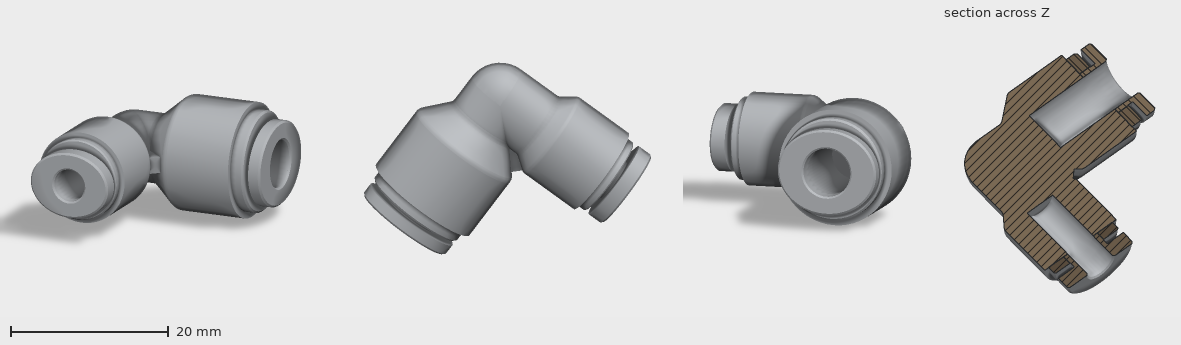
import cadquery as cq
import math


overall_x = 26.4
overall_y = 27.45
large_barrel_dia = 14.9
small_barrel_dia = 11.9

tube_dia = 9.0
shoulder_fillet = 1.0
rib_thickness = 2.09
rib_reach = 13.42

collar_gap = 0.75
flange_chamfer = 0.25
bore_chamfer = 0.22
bore_taper = 0.03
taper_depth = 2.75
neck_fillet = 0.08

large_arm = dict(
    cone_start=4.0,
    cone_end=7.5,
    barrel_dia=large_barrel_dia,
    barrel_end=16.47,
    ring_dia=13.15,
    ring_length=1.65,
    ring_chamfer=0.25,
    neck_dia=7.5,
    flange_width=13.0,
    flange_height=11.0,
    collar_end=overall_x - small_barrel_dia / 2,
    bore_dia=6.2,
)
small_arm = dict(
    cone_start=5.95,
    cone_end=7.95,
    barrel_dia=small_barrel_dia,
    barrel_end=15.98,
    ring_dia=10.6,
    ring_length=1.24,
    ring_chamfer=0.16,
    neck_dia=5.5,
    flange_width=10.8,
    flange_height=8.56,
    collar_end=overall_y - large_barrel_dia / 2,
    bore_dia=4.2,
)


def along_arm(arm):
    """Frame at the origin: local z runs out along the arm, local y is global Z."""
    if arm is large_arm:
        return cq.Plane(origin=(0, 0, 0), xDir=(0, 1, 0), normal=(1, 0, 0))
    return cq.Plane(origin=(0, 0, 0), xDir=(1, 0, 0), normal=(0, -1, 0))


def at_station(arm, station):
    """Workplane across the arm axis at a distance from the origin."""
    return cq.Workplane(along_arm(arm)).workplane(offset=station)


def outermost(arm):
    """Selector for whatever lies farthest out along the arm."""
    return cq.selectors.DirectionMinMaxSelector(along_arm(arm).zDir)


def make_arm_shell(arm):
    """Solid tube, cone and barrel of one arm, with both cone corners blended."""
    tube_radius = tube_dia / 2
    barrel_radius = arm["barrel_dia"] / 2
    cone_length = arm["cone_end"] - arm["cone_start"]
    cone_angle = math.atan2(barrel_radius - tube_radius, cone_length)
    tangent = shoulder_fillet * math.tan(cone_angle / 2)
    bulge = shoulder_fillet * (1 - math.cos(cone_angle / 2))
    run = tangent * math.cos(cone_angle)
    rise = tangent * math.sin(cone_angle)
    half_run = shoulder_fillet * math.sin(cone_angle / 2)
    inner_start = arm["cone_start"] - tangent
    outer_end = arm["cone_end"] + tangent

    profile_plane = along_arm(arm).rotated((90, 0, 0))
    return (
        cq.Workplane(profile_plane)
        .moveTo(0, 0)
        .lineTo(tube_radius, 0)
        .lineTo(tube_radius, inner_start)
        .threePointArc(
            (tube_radius + bulge, inner_start + half_run),
            (tube_radius + rise, arm["cone_start"] + run),
        )
        .lineTo(barrel_radius - rise, arm["cone_end"] - run)
        .threePointArc(
            (barrel_radius - bulge, outer_end - half_run),
            (barrel_radius, outer_end),
        )
        .lineTo(barrel_radius, arm["barrel_end"])
        .lineTo(0, arm["barrel_end"])
        .close()
        .revolve(360, (0, 0), (0, 1))
    )


def make_rib():
    """Triangular web bridging the two cones in the inner corner."""
    return (
        cq.Workplane("XY")
        .polyline([(0, 0), (rib_reach, 0), (0, -rib_reach)])
        .close()
        .extrude(rib_thickness / 2, both=True)
    )


def make_tube_pocket(arm):
    """Blind hole for the tube, from the barrel face down to the end of the cone."""
    depth = arm["barrel_end"] - arm["cone_end"]
    pocket_radius = (arm["bore_dia"] - bore_taper) / 2
    return at_station(arm, arm["cone_end"]).circle(pocket_radius).extrude(depth)


def make_elbow():
    """Both arms, the domed corner and the web as one solid with two tube pockets."""
    elbow = cq.Workplane("XY").sphere(tube_dia / 2)
    for arm in (large_arm, small_arm):
        elbow = elbow.union(make_arm_shell(arm))
    elbow = elbow.union(make_rib())
    for arm in (large_arm, small_arm):
        elbow = elbow.cut(make_tube_pocket(arm))
    return elbow


def make_guide_ring(arm):
    """Ring seated on the barrel face, its hole matching the collar neck."""
    hole = at_station(arm, arm["barrel_end"]).circle(arm["neck_dia"] / 2).extrude(arm["ring_length"])
    return (
        at_station(arm, arm["barrel_end"])
        .circle(arm["ring_dia"] / 2)
        .extrude(arm["ring_length"])
        .faces(outermost(arm))
        .chamfer(arm["ring_chamfer"])
        .cut(hole)
    )


def make_release_collar(arm):
    """Round neck through the guide ring, carrying an oval push flange, bored for the tube."""
    neck_length = arm["ring_length"] + collar_gap
    flange_start = arm["barrel_end"] + neck_length
    collar_end = arm["collar_end"]
    neck = at_station(arm, arm["barrel_end"]).circle(arm["neck_dia"] / 2).extrude(neck_length)
    flange = (
        at_station(arm, flange_start)
        .ellipse(arm["flange_width"] / 2, arm["flange_height"] / 2)
        .extrude(collar_end - flange_start)
        .faces(outermost(arm))
        .chamfer(flange_chamfer)
    )
    mouth_radius = arm["bore_dia"] / 2
    inner_radius = mouth_radius - bore_taper / 2
    straight_bore = (
        at_station(arm, arm["barrel_end"])
        .circle(inner_radius)
        .extrude(collar_end - arm["barrel_end"])
    )
    tapered_bore = (
        at_station(arm, collar_end)
        .circle(mouth_radius)
        .workplane(offset=-taper_depth)
        .circle(inner_radius)
        .loft()
    )
    mouth = (
        at_station(arm, collar_end)
        .circle(mouth_radius + bore_chamfer)
        .workplane(offset=-bore_chamfer)
        .circle(mouth_radius)
        .loft()
    )
    collar = neck.union(flange)
    collar = collar.edges("%CIRCLE").edges(outermost(arm)).fillet(neck_fillet)
    return collar.cut(straight_bore).cut(tapered_bore).cut(mouth)


elbow = make_elbow()
guide_rings = [make_guide_ring(arm) for arm in (large_arm, small_arm)]
release_collars = [make_release_collar(arm) for arm in (large_arm, small_arm)]

result = cq.Compound.makeCompound(
    [
        elbow.val(),
        *[ring.val() for ring in guide_rings],
        *[collar.val() for collar in release_collars],
    ]
)